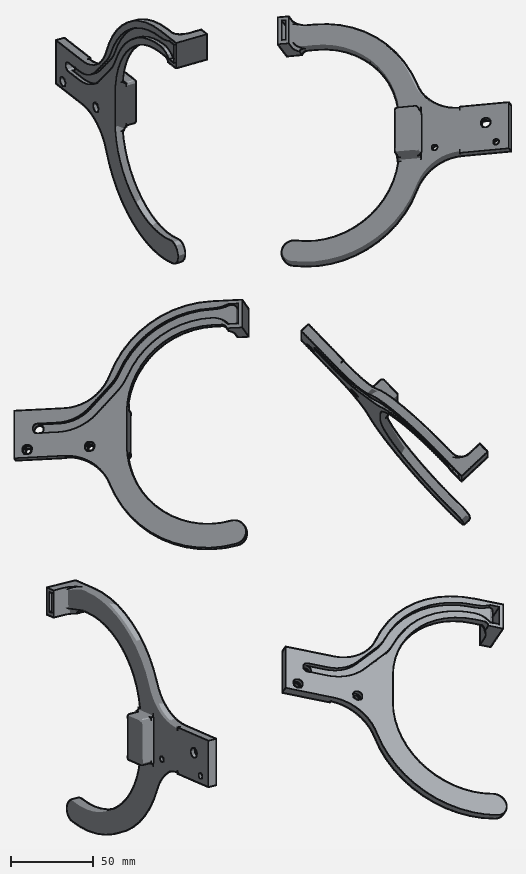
import cadquery as cq
import math

length = 142.6
height = 154.5
depth = 22.0
plate_thickness = 6.0
mid_z = height / 2

ring_width = 15.0
ring_outer_radius = 67.5
ring_inner_radius = ring_outer_radius - ring_width
ring_mid_radius = ring_outer_radius - ring_width / 2
ring_x = 121.8
upper_ring_z = height - ring_outer_radius
lower_ring_z = ring_outer_radius
back_edge_round = 2.0

plate_height = 29.8
plate_top_z = mid_z + plate_height / 2
plate_bottom_z = mid_z - plate_height / 2
blend_radius = 30.0

screw_hole_diameter = 3.5
screw_head_diameter = 6.0
screw_head_depth = 3.1
screw_x_positions = (8.0, 46.5)
screw_z = 67.4

boss_width = 14.7
boss_top_y = 15.6
boss_round = 1.9

post_right_x = 140.3
post_left_x = 133.4
post_bottom_z = 137.1
post_foot_radius = 7.9
post_foot_x = post_left_x - post_foot_radius
post_side_x = 127.7
post_flare_end_x = 130.7

groove_width = 6.0
groove_depth = 3.0
groove_start_x = 14.5
groove_start_z = 80.4
groove_bend_x = 26.9
groove_climb_angle = 46.6
slot_left_x = 135.4
slot_right_x = 137.9
slot_bottom_z = 139.7
slot_top_z = 152.2
slot_round = 3.0
funnel_end_x = 132.0


def polar(center, radius, angle):
    """Point on a circle, at an angle in degrees from the first sketch axis towards the second."""
    turn = math.radians(angle)
    return (center[0] + radius * math.cos(turn), center[1] + radius * math.sin(turn))


def arc_on(sketch, center, radius, start_angle, end_angle):
    """Continue the sketch along an arc, from its start angle to its end angle."""
    middle = polar(center, radius, (start_angle + end_angle) / 2)
    return sketch.threePointArc(middle, polar(center, radius, end_angle))


def front_plane(y=0.0):
    """Sketch plane at the given Y whose local axes run along +X and +Z."""
    return cq.Workplane("XZ", origin=(0, y, 0))


def level_arc_middle(level_point, end_point):
    """Middle of the arc that is level at one point and passes through another one."""
    run = end_point[0] - level_point[0]
    rise = end_point[1] - level_point[1]
    radius = (run**2 + rise**2) / (2 * rise)
    half_turn = math.atan2(run, abs(radius - rise)) / 2
    return (
        level_point[0] + abs(radius) * math.sin(half_turn),
        level_point[1] + radius * (1 - math.cos(half_turn)),
    )


def box_between(low, high):
    size = [b - a for a, b in zip(low, high)]
    return cq.Workplane("XY", origin=tuple(low)).box(*size, centered=False)


foot_center = (post_foot_x, plate_thickness + post_foot_radius)
upper_center = (ring_x, upper_ring_z)
lower_center = (ring_x, lower_ring_z)

blend_drop = plate_top_z + blend_radius - upper_ring_z
blend_reach = ring_outer_radius + blend_radius
blend_x = ring_x - math.sqrt(blend_reach**2 - blend_drop**2)
blend_angle = math.degrees(math.asin(blend_drop / blend_reach))
upper_blend = (blend_x, plate_top_z + blend_radius)
lower_blend = (blend_x, plate_bottom_z - blend_radius)

tip_angle = math.degrees(math.asin((length - ring_width / 2 - ring_x) / ring_mid_radius))


def make_fork():
    """C-shaped fork with its blends and the concave foot of the post, rounded along its back edges."""
    tip_direction = tip_angle - 90
    tip_center = polar(lower_center, ring_mid_radius, tip_direction)

    outline = front_plane().moveTo(blend_x, plate_bottom_z).lineTo(blend_x, plate_top_z)
    outline = arc_on(outline, upper_blend, blend_radius, -90, -blend_angle)
    outline = arc_on(outline, upper_center, ring_outer_radius, 180 - blend_angle, 90)
    outline = outline.lineTo(post_foot_x, height).lineTo(post_foot_x, height - ring_width)
    outline = outline.lineTo(ring_x, height - ring_width)
    outline = arc_on(outline, upper_center, ring_inner_radius, 90, 180)
    outline = outline.lineTo(ring_x - ring_inner_radius, lower_ring_z)
    outline = arc_on(outline, lower_center, ring_inner_radius, -180, tip_direction)
    outline = arc_on(outline, tip_center, ring_width / 2, tip_direction + 180, tip_direction)
    outline = arc_on(outline, lower_center, ring_outer_radius, tip_direction, blend_angle - 180)
    outline = arc_on(outline, lower_blend, blend_radius, blend_angle, 90)
    fork = outline.close().extrude(-plate_thickness)

    foot = cq.Workplane("XY", origin=(0, 0, height - ring_width)).moveTo(post_foot_x, 0)
    foot = foot.lineTo(post_foot_x, plate_thickness)
    foot = arc_on(foot, foot_center, post_foot_radius, -90, 0)
    foot = foot.lineTo(post_left_x, depth).lineTo(post_right_x, depth).lineTo(post_right_x, 0)
    fork = fork.union(foot.close().extrude(ring_width))

    straight_x = (ring_x + post_foot_x) / 2
    outer_edge = cq.NearestToPointSelector((straight_x, plate_thickness, height))
    inner_edge = cq.NearestToPointSelector((straight_x, plate_thickness, height - ring_width))
    return fork.edges(outer_edge + inner_edge).fillet(back_edge_round)


def make_plate():
    return box_between((0, 0, plate_bottom_z), (blend_x, plate_thickness, plate_top_z))


def make_boss():
    """Boss that follows the back of the ring, rounded at its ends and flared where it meets the fork."""
    outer_radius = ring_inner_radius + boss_width
    band = front_plane(plate_thickness - back_edge_round)
    band = band.moveTo(*polar(lower_center, ring_inner_radius, -135))
    band = arc_on(band, lower_center, ring_inner_radius, -135, -180)
    band = band.lineTo(ring_x - ring_inner_radius, upper_ring_z)
    band = arc_on(band, upper_center, ring_inner_radius, 180, 135)
    band = band.lineTo(*polar(upper_center, outer_radius, 135))
    band = arc_on(band, upper_center, outer_radius, 135, 180)
    band = band.lineTo(ring_x - outer_radius, lower_ring_z)
    band = arc_on(band, lower_center, outer_radius, -180, -135)
    band = band.close().extrude(plate_thickness - back_edge_round - boss_top_y)

    block = band.intersect(box_between((0, 0, plate_bottom_z), (length, depth, plate_top_z)))
    block = block.edges("|Y").fillet(boss_round).faces(">Y").edges().fillet(boss_round)

    flare_y = plate_thickness + boss_round
    lower_z = plate_bottom_z - boss_round
    upper_z = plate_top_z + boss_round
    flares = box_between((0, plate_thickness - back_edge_round, lower_z), (length, flare_y, upper_z))
    for groove_z in (lower_z, upper_z):
        groove = cq.Workplane("YZ").center(flare_y, groove_z).circle(boss_round).extrude(length)
        flares = flares.cut(groove)
    return block.union(band.intersect(flares))


def make_post():
    """Square-edged post standing on the end of the fork, widened below by a rounded flare."""
    side_start = (post_side_x, plate_thickness - back_edge_round)
    run = post_left_x - post_side_x
    rise = foot_center[1] - side_start[1]
    side_radius = (run**2 + rise**2) / (2 * run)
    side_center = (post_left_x - side_radius, foot_center[1])
    side_angle = -math.degrees(math.asin(rise / side_radius))
    side = cq.Workplane("XY").moveTo(post_side_x, 0).lineTo(*side_start)
    side = arc_on(side, side_center, side_radius, side_angle, 0)
    side = side.lineTo(post_left_x, depth).lineTo(post_right_x, depth).lineTo(post_right_x, 0)
    side = side.close().extrude(height)

    flare_start = (post_side_x, height - ring_width)
    flare_end = (post_flare_end_x, post_bottom_z)
    front = (
        front_plane()
        .moveTo(post_side_x, height)
        .lineTo(*flare_start)
        .threePointArc(level_arc_middle(flare_start, flare_end), flare_end)
        .lineTo(post_right_x, post_bottom_z)
        .lineTo(post_right_x, height)
        .close()
        .extrude(-depth)
    )
    return side.intersect(front)


def make_groove():
    """Groove of constant width: level, then climbing, then along the middle of the upper half ring."""
    climb = math.radians(groove_climb_angle)
    first_center = (groove_bend_x, groove_start_z + blend_radius)
    climb_start = polar(first_center, blend_radius, groove_climb_angle - 90)

    to_ring = (ring_x - climb_start[0], upper_ring_z - climb_start[1])
    along = to_ring[0] * math.cos(climb) + to_ring[1] * math.sin(climb)
    across = to_ring[0] * math.sin(climb) - to_ring[1] * math.cos(climb)
    center_distance = ring_mid_radius + blend_radius
    second_bend = math.degrees(math.acos((across + blend_radius) / center_distance))
    climb_length = along - center_distance * math.sin(math.radians(second_bend))
    climb_end = (
        climb_start[0] + climb_length * math.cos(climb),
        climb_start[1] + climb_length * math.sin(climb),
    )
    second_center = polar(climb_end, blend_radius, groove_climb_angle + 90)
    ring_entry = groove_climb_angle + second_bend

    path = front_plane().moveTo(groove_start_x, groove_start_z).lineTo(groove_bend_x, groove_start_z)
    path = arc_on(path, first_center, blend_radius, -90, groove_climb_angle - 90)
    path = path.lineTo(*climb_end)
    path = arc_on(path, second_center, blend_radius, groove_climb_angle - 90, ring_entry - 90)
    path = arc_on(path, upper_center, ring_mid_radius, ring_entry + 90, 90)
    return path.wire().offset2D(groove_width / 2).extrude(-groove_depth)


def make_funnel():
    """End of the groove, widening to the height of the slot."""
    groove_top = (ring_x, upper_ring_z + ring_mid_radius + groove_width / 2)
    groove_bottom = (ring_x, upper_ring_z + ring_mid_radius - groove_width / 2)
    slot_top = (funnel_end_x, slot_top_z)
    slot_bottom = (funnel_end_x, slot_bottom_z)
    return (
        front_plane()
        .moveTo(*groove_top)
        .threePointArc(level_arc_middle(groove_top, slot_top), slot_top)
        .lineTo(*slot_bottom)
        .threePointArc(level_arc_middle(groove_bottom, slot_bottom), groove_bottom)
        .close()
        .extrude(-groove_depth)
    )


def make_slot():
    """Slot through the full depth of the post, with a rounded lip at the groove floor."""
    lip_center = (slot_left_x - slot_round, groove_depth + slot_round)
    profile = cq.Workplane("XY", origin=(0, 0, slot_bottom_z)).moveTo(funnel_end_x, groove_depth)
    profile = arc_on(profile.lineTo(lip_center[0], groove_depth), lip_center, slot_round, -90, 0)
    return (
        profile.lineTo(slot_left_x, depth)
        .lineTo(slot_right_x, depth)
        .lineTo(slot_right_x, 0)
        .lineTo(funnel_end_x, 0)
        .close()
        .extrude(slot_top_z - slot_bottom_z)
    )


def make_holes():
    """Wire hole at the start of the groove and two screw holes with head recesses in the front face."""
    holes = front_plane().moveTo(groove_start_x, groove_start_z).circle(groove_width / 2)
    holes = holes.extrude(-plate_thickness)
    for screw_x in screw_x_positions:
        screw = front_plane().moveTo(screw_x, screw_z)
        holes = holes.union(screw.circle(screw_hole_diameter / 2).extrude(-plate_thickness))
        holes = holes.union(screw.circle(screw_head_diameter / 2).extrude(-screw_head_depth))
    return holes


result = make_fork().union(make_plate()).union(make_boss()).union(make_post())
result = result.cut(make_groove()).cut(make_funnel()).cut(make_slot()).cut(make_holes())